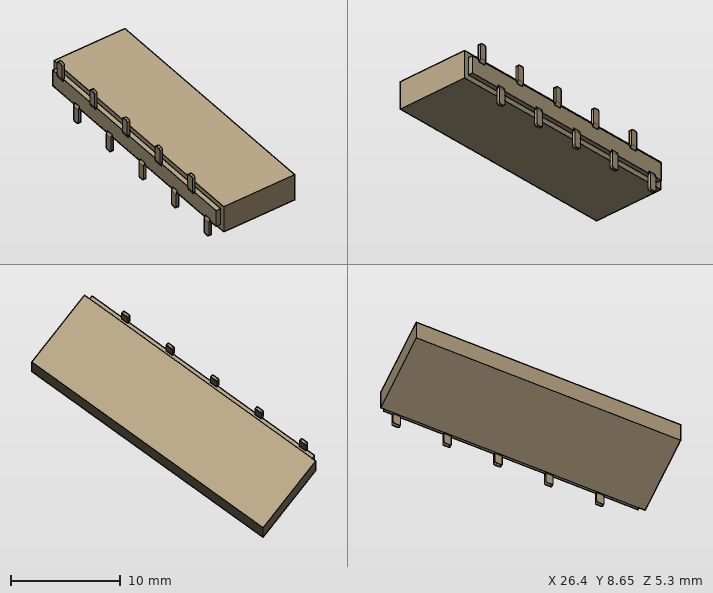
import cadquery as cq

body_length = 26.4
body_depth = 8.0
body_height = 2.95

plinth_length = 25.4
plinth_depth = 0.5
plinth_height = 1.85

terminal_count = 10
terminal_row_length = 22.84
terminal_pitch = terminal_row_length / (terminal_count - 1)
terminal_width = 0.75
terminal_thickness = 0.3
terminal_projection = 0.15
terminal_span = 5.3
bend_start = 1.03
inner_bend_radius = 0.25
outer_bend_radius = inner_bend_radius + terminal_thickness
tip_radius = 0.2


def make_housing():
    return cq.Workplane("XY").box(
        body_length, body_depth, body_height, centered=(True, False, True)
    )


def make_plinth():
    return (
        cq.Workplane("XZ")
        .rect(plinth_length, plinth_height)
        .extrude(plinth_depth)
    )


def make_upward_terminal():
    """Upward lead at X = 0; its quarter-round bend ends inside the plinth."""
    front = -(plinth_depth + terminal_projection)
    back = front + terminal_thickness
    bend_end = front + outer_bend_radius
    tip_height = terminal_span / 2
    return (
        cq.Workplane("YZ")
        .moveTo(front, tip_height)
        .lineTo(front, bend_start)
        .radiusArc((bend_end, bend_start - outer_bend_radius), -outer_bend_radius)
        .lineTo(bend_end, bend_start - inner_bend_radius)
        .radiusArc((back, bend_start), inner_bend_radius)
        .lineTo(back, tip_height)
        .close()
        .extrude(terminal_width / 2, both=True)
        .edges("|Y and >Z")
        .fillet(tip_radius)
    )


result = make_housing().union(make_plinth())

upward_terminal = make_upward_terminal()
downward_terminal = upward_terminal.mirror("XY")
for index in range(terminal_count):
    terminal = upward_terminal if index % 2 == 0 else downward_terminal
    terminal_x = index * terminal_pitch - terminal_row_length / 2
    result = result.union(terminal.translate((terminal_x, 0, 0)))